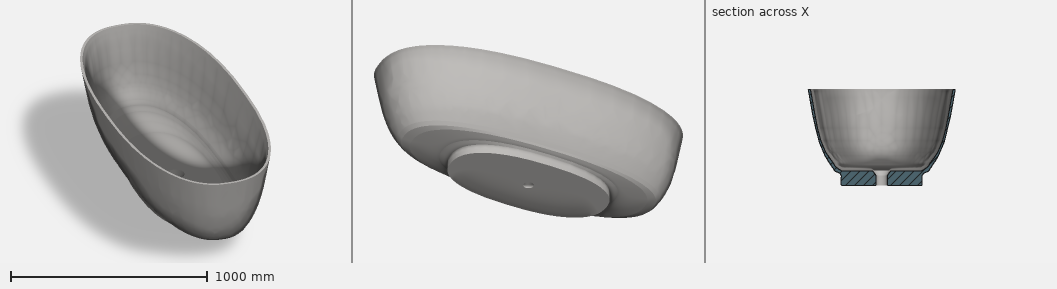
import cadquery as cq
import math

rim_length = 1700.0
rim_width = 751.0
height = 490.0
wall = 14.0

foot_length = 887.0
foot_width = 415.0
foot_height = 51.0
floor_length = 877.0
floor_width = 408.0
floor_z = 77.0

drain_diameter = 55.0
countersink_diameter = 92.0
countersink_depth = 25.0

oval_exponent = 2.4
points_per_quarter = 10

side_sections = [
    (height, rim_length, rim_width),
    (340.0, 1645.0, 697.0),
    (187.0, 1560.0, 612.0),
    (102.0, 1465.0, 517.0),
]
underside_sections = [
    (102.0, 1465.0, 517.0),
    (83.0, 1425.0, 491.0),
    (73.0, 1326.0, 480.0),
    (63.0, 986.0, 428.0),
    (foot_height, foot_length, foot_width),
]
bowl_bottom_sections = [
    (119.0, 1418.0, 496.0),
    (102.0, 1370.0, 476.0),
    (92.0, 1275.0, 455.0),
    (83.0, 1088.0, 432.0),
    (floor_z, floor_length, floor_width),
]


def oval(z, length, width):
    """Closed superellipse wire in a horizontal plane."""
    points = []
    for i in range(4 * points_per_quarter):
        angle = i * math.pi / (2 * points_per_quarter)
        cosine = math.cos(angle)
        sine = math.sin(angle)
        x = length / 2 * math.copysign(abs(cosine) ** (2 / oval_exponent), cosine)
        y = width / 2 * math.copysign(abs(sine) ** (2 / oval_exponent), sine)
        points.append(cq.Vector(x, y, z))
    return cq.Wire.assembleEdges([cq.Edge.makeSpline(points, periodic=True)])


def loft(sections, ruled):
    """Solid with smooth or straight sides, skinned through a stack of ovals."""
    wires = [oval(z, length, width) for z, length, width in sections]
    return cq.Workplane(obj=cq.Solid.makeLoft(wires, ruled))


def make_outside():
    foot_wire = oval(0, foot_length, foot_width)
    foot = cq.Workplane(obj=cq.Solid.extrudeLinear(foot_wire, [], cq.Vector(0, 0, foot_height)))
    walls = loft(side_sections, ruled=False)
    underside = loft(underside_sections, ruled=True)
    return walls.union(underside).union(foot)


def make_bowl():
    inside = [(z, length - 2 * wall, width - 2 * wall) for z, length, width in side_sections[:-1]]
    inside.append(bowl_bottom_sections[0])
    return loft(inside, ruled=False).union(loft(bowl_bottom_sections, ruled=True))


def make_drain():
    hole = cq.Workplane().circle(drain_diameter / 2).extrude(floor_z)
    countersink = cq.Workplane(
        obj=cq.Solid.makeCone(
            drain_diameter / 2,
            countersink_diameter / 2,
            countersink_depth,
            pnt=cq.Vector(0, 0, floor_z - countersink_depth),
        )
    )
    return hole.union(countersink)


result = make_outside().cut(make_bowl()).cut(make_drain())